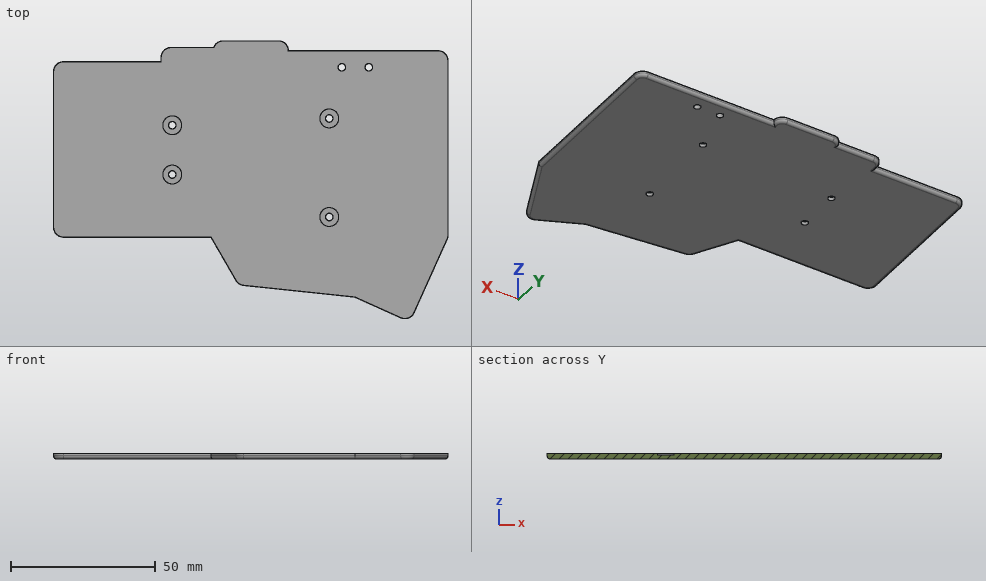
import cadquery as cq
import math

thickness = 2.0
plate_length = 136.15
overall_depth = 95.9
edge_radius = 1.2
corner_radius = 3.5

left_rear = 60.6
step_rear = 65.5
tab_rear = 67.8
right_rear = 64.4

step_left = 37.1
tab_left = 55.1
tab_right = 81.1

thumb_left = 54.35
thumb_side_angle = 60.0
thumb_front_angle = 6.0
thumb_end_angle = 24.25
thumb_corner_depth = 16.45

screw_pitch = 17.0
screw_diameter = 2.5
head_diameter = 6.5
head_depth = 0.5
left_screw_x = 41.0
left_screw_y = 21.65
right_screw_x = 95.15
right_screw_y = 7.0
screw_points = [
    (left_screw_x, left_screw_y),
    (left_screw_x, left_screw_y + screw_pitch),
    (right_screw_x, right_screw_y),
    (right_screw_x, right_screw_y + 2 * screw_pitch),
]

access_diameter = 2.5
access_y = 58.65
access_left_x = 99.5
access_right_x = 108.8
access_points = [(access_left_x, access_y), (access_right_x, access_y)]


def direction(angle):
    """Unit vector at an angle in degrees from +X."""
    return math.cos(math.radians(angle)), math.sin(math.radians(angle))


def crossing(point_a, angle_a, point_b, angle_b):
    """Point where two lines, each given by a point and an angle, cross."""
    ax, ay = direction(angle_a)
    bx, by = direction(angle_b)
    dx = point_b[0] - point_a[0]
    dy = point_b[1] - point_a[1]
    distance = (dx * by - dy * bx) / (ax * by - ay * bx)
    return point_a[0] + distance * ax, point_a[1] + distance * ay


def prism(points, rounded):
    """Plate-thick prism whose vertical edges at the rounded points are filleted."""
    body = cq.Workplane("XY").polyline(points).close().extrude(thickness)
    for x, y in rounded:
        nearest = cq.selectors.NearestToPointSelector((x, y, thickness / 2))
        body = body.edges("|Z").edges(nearest).fillet(corner_radius)
    return body


def make_main_plate():
    """Main rectangle with the left block and the angled thumb area."""
    thumb_start = (thumb_left, 0)
    thumb_end = (plate_length, 0)
    thumb_corner = crossing(thumb_start, -thumb_side_angle, (0, -thumb_corner_depth), 0)
    end_x, end_y = direction(thumb_end_angle)
    tip_y = tab_rear - overall_depth - corner_radius * (end_x + end_y - 1)
    thumb_tip = crossing(thumb_end, 90 - thumb_end_angle, (0, tip_y), 0)
    thumb_bend = crossing(thumb_corner, -thumb_front_angle, thumb_tip, -thumb_end_angle)
    front_left = (0, 0)
    rear_left = (0, left_rear)
    rear_right = (plate_length, right_rear)
    points = [
        front_left,
        thumb_start,
        thumb_corner,
        thumb_bend,
        thumb_tip,
        thumb_end,
        rear_right,
        (tab_left, right_rear),
        (tab_left, left_rear),
        rear_left,
    ]
    rounded = [front_left, thumb_corner, thumb_tip, rear_right, rear_left]
    return prism(points, rounded)


def make_rear_tab(left, right, rear, rounded_right):
    """Block standing out of the rear edge, with rounded rear corners."""
    points = [(left, 0), (right, 0), (right, rear), (left, rear)]
    rounded = [(left, rear)]
    if rounded_right:
        rounded.append((right, rear))
    return prism(points, rounded)


def make_plate():
    """Complete outline, rounded over along the bottom edge."""
    step = make_rear_tab(step_left, (tab_left + tab_right) / 2, step_rear, False)
    tab = make_rear_tab(tab_left, tab_right, tab_rear, True)
    plate = make_main_plate().union(step).union(tab).clean()
    return plate.faces("<Z").edges().fillet(edge_radius)


def cut_screw_holes(plate):
    """Counterbored holes, with the heads sunk from the top."""
    top = plate.faces(">Z").workplane(origin=(0, 0, thickness))
    return top.pushPoints(screw_points).cboreHole(screw_diameter, head_diameter, head_depth)


def cut_access_holes(plate):
    """Plain through holes."""
    top = plate.faces(">Z").workplane(origin=(0, 0, thickness))
    return top.pushPoints(access_points).hole(access_diameter)


result = cut_access_holes(cut_screw_holes(make_plate()))